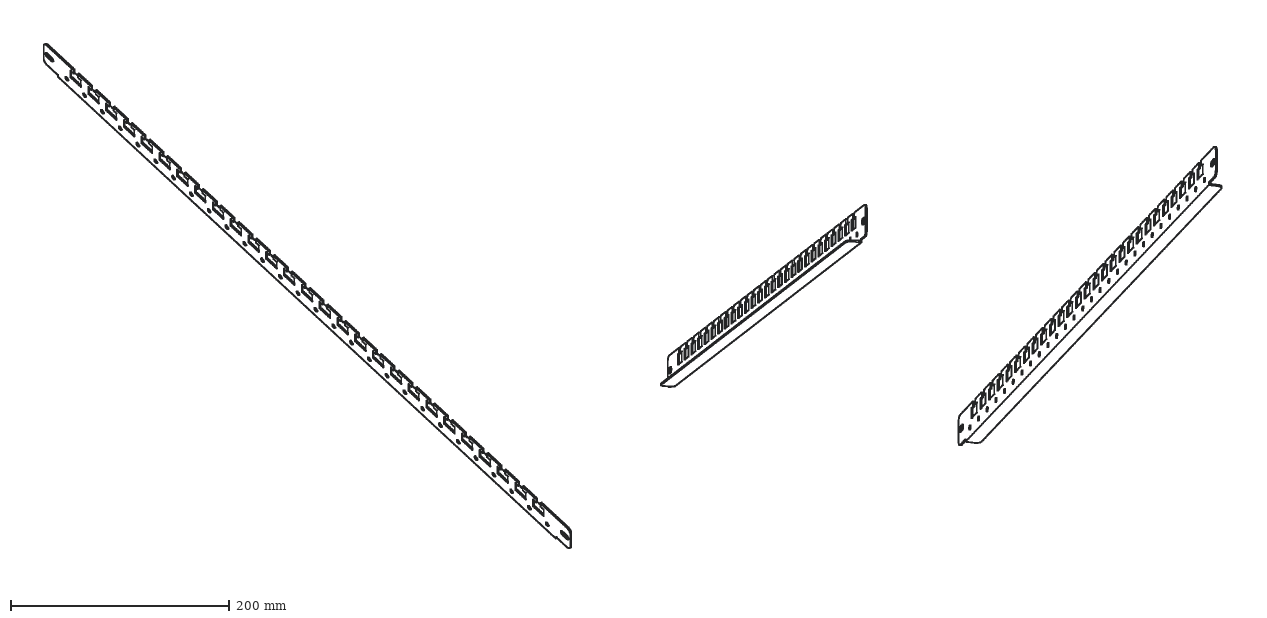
import cadquery as cq

bar_length = 740.0
bar_height = 32.0
bar_depth = 14.0
sheet = 1.5
corner_radius = 5.0

flange_length = 700.0
end_lift = 2.5

pitch = 25.0
opening_count = 27
neck_width = 6.0
neck_height = 5.0
pocket_width = 15.0
opening_depth = 15.0
hole_diameter = 4.2
hole_z = 9.5

slot_length = 11.0
slot_height = 5.5
slot_x = 362.0
slot_z = 17.5


def row_positions(count):
    """X positions of a row at the common pitch, centred on x = 0."""
    return [(i - (count - 1) / 2) * pitch for i in range(count)]


def sheet_block(width, x, z_bottom, z_top):
    """Box as thick as the upright plate, centred on x."""
    return (
        cq.Workplane("XY")
        .box(width, sheet, z_top - z_bottom, centered=(True, False, False))
        .translate((x, 0, z_bottom))
    )


def make_plate():
    """Upright plate: rounded full-length body, reaching down to z = 0 over the flange."""
    full_length_body = sheet_block(bar_length, 0, end_lift, bar_height).edges("|Y").fillet(corner_radius)
    middle_body = sheet_block(flange_length, 0, 0, bar_height)
    return full_length_body.union(middle_body)


def make_flange():
    """Horizontal flange toward +Y with its two free corners rounded."""
    return (
        cq.Workplane("XY")
        .box(flange_length, bar_depth, sheet, centered=(True, False, False))
        .edges("|Z and >Y")
        .fillet(corner_radius)
    )


def make_openings():
    """Cutters for the row of T-shaped openings: a wide pocket below a narrow neck."""
    pocket_floor = bar_height - opening_depth
    pocket_roof = bar_height - neck_height
    openings = cq.Workplane("XY")
    for x in row_positions(opening_count):
        openings = openings.add(sheet_block(pocket_width, x, pocket_floor, pocket_roof))
        openings = openings.add(sheet_block(neck_width, x, pocket_roof, bar_height))
    return openings.combine()


def make_holes():
    """Cutters for the round holes, half a pitch off the openings."""
    centres = [(x, hole_z) for x in row_positions(opening_count + 1)]
    return cq.Workplane("XZ").pushPoints(centres).circle(hole_diameter / 2).extrude(-sheet)


def make_mounting_slots():
    """Cutters for the round-ended slot at each end."""
    centres = [(-slot_x, slot_z), (slot_x, slot_z)]
    return cq.Workplane("XZ").pushPoints(centres).slot2D(slot_length, slot_height).extrude(-sheet)


result = (
    make_plate()
    .union(make_flange())
    .cut(make_openings())
    .cut(make_holes())
    .cut(make_mounting_slots())
)